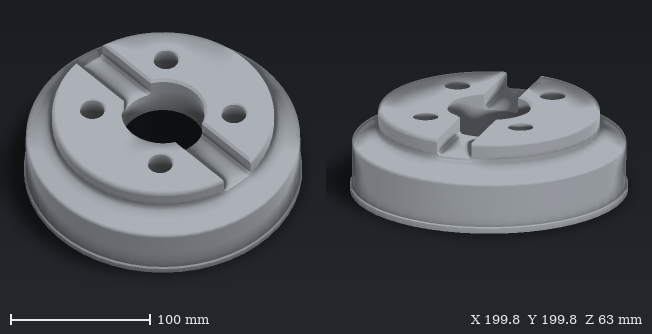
import cadquery as cq
import math

total_height = 63.0
lip_radius = 99.9
lip_height = 4.5
lip_chamfer = 0.5
shell_radius = 98.5
hub_radius = 79.7

shoulder_angle = math.radians(30)
shoulder_base_height = 36.8
shoulder_top_height = shoulder_base_height + (shell_radius - hub_radius) * math.tan(shoulder_angle)
shoulder_fillet = 3.2
hub_top_fillet = 4.8

bore_radius = 30.0
slot_width = 26.0
slot_depth = 13.5
slot_floor_height = total_height - slot_depth
edge_break = 1.8
bolt_hole_radius = 9.0
bolt_hole_chamfer = 1.0
bolt_hole_spacing = 72.0

cavity_radius = 84.0
cavity_ceiling = 31.5
ring_thickness = 1.2


def revolve_profile(points):
    return cq.Workplane("XZ").polyline(points).close().revolve(360, (0, 0, 0), (0, 1, 0))


def circle_at(radius, height):
    """Select circular edges of one radius at one height."""
    tolerance = 0.02
    size = radius + tolerance
    return cq.selectors.BoxSelector(
        (-size, -size, height - tolerance), (size, size, height + tolerance), boundingbox=True
    )


def rounded_body():
    """Revolved housing with its lower lip, conical shoulder and raised hub."""
    body = revolve_profile([
        (0, cavity_ceiling),
        (cavity_radius, cavity_ceiling),
        (cavity_radius, ring_thickness),
        (lip_radius, ring_thickness),
        (lip_radius, lip_height - lip_chamfer),
        (lip_radius - lip_chamfer, lip_height),
        (shell_radius, lip_height),
        (shell_radius, shoulder_base_height),
        (hub_radius, shoulder_top_height),
        (hub_radius, total_height),
        (0, total_height),
    ])
    body = body.edges(circle_at(shell_radius, shoulder_base_height)).fillet(shoulder_fillet)
    body = body.edges(circle_at(hub_radius, shoulder_top_height)).fillet(shoulder_fillet)
    return body.edges(circle_at(hub_radius, total_height)).fillet(hub_top_fillet)


def bore_cutter():
    return revolve_profile([
        (0, 0),
        (bore_radius, 0),
        (bore_radius, total_height - edge_break),
        (bore_radius + edge_break, total_height),
        (0, total_height),
    ])


def slot_cutter():
    """Cross slot along X with chamfered mouth and floor corners."""
    half_width = slot_width / 2
    half_outline = [
        (half_width - edge_break, slot_floor_height),
        (half_width, slot_floor_height + edge_break),
        (half_width, total_height - edge_break),
        (half_width + edge_break, total_height),
    ]
    mirrored = [(-y, z) for y, z in reversed(half_outline)]
    return cq.Workplane("YZ").polyline(half_outline + mirrored).close().extrude(lip_radius, both=True)


def bolt_hole_cutter():
    return revolve_profile([
        (0, 0),
        (bolt_hole_radius, 0),
        (bolt_hole_radius, total_height - bolt_hole_chamfer),
        (bolt_hole_radius + bolt_hole_chamfer, total_height),
        (0, total_height),
    ])


def make_housing():
    housing = rounded_body().cut(bore_cutter()).cut(slot_cutter())
    for x_side in (-1, 1):
        for y_side in (-1, 1):
            offset = (x_side * bolt_hole_spacing / 2, y_side * bolt_hole_spacing / 2, 0)
            housing = housing.cut(bolt_hole_cutter().translate(offset))
    return housing


def make_base_ring():
    return cq.Workplane("XY").circle(lip_radius).circle(cavity_radius).extrude(ring_thickness)


housing = make_housing()
base_ring = make_base_ring()
result = cq.Compound.makeCompound([housing.val(), base_ring.val()])